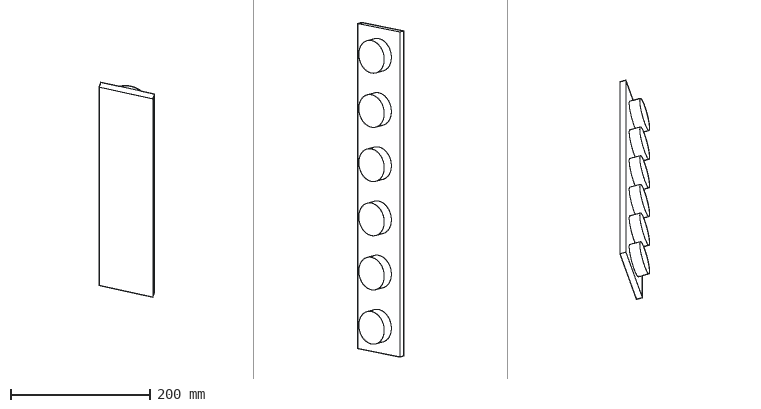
import cadquery as cq

plate_height = 480.0
stud_count = 6
total_depth = 25.0
plate_thickness = 9.0
stud_diameter = 48.0

stud_pitch = plate_height / stud_count
plate_width = stud_pitch
stud_height = total_depth - plate_thickness


def make_plate():
    """Upright plate with its plain face on Y = 0, centred on X and Z."""
    return cq.Workplane("XY").box(
        plate_width, plate_thickness, plate_height, centered=(True, False, True)
    )


def add_studs(body):
    """Single column of round studs on the +Y face of the plate."""
    studs = (
        cq.Workplane("XZ", origin=(0, plate_thickness, 0))
        .rarray(stud_pitch, stud_pitch, 1, stud_count)
        .circle(stud_diameter / 2)
        .extrude(-stud_height)
    )
    return body.union(studs)


result = add_studs(make_plate())